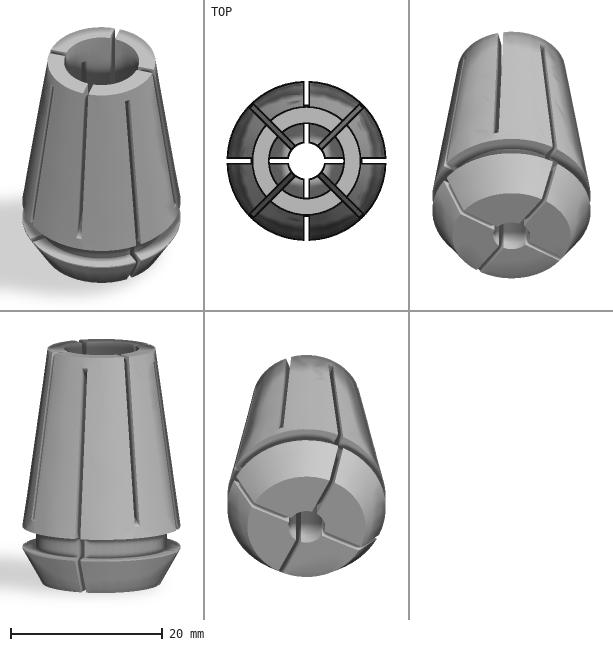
import cadquery as cq
import math

height = 31.5
outer_radius = 10.5

nose_radius = 7.85
nose_taper_top = 4.7
groove_bottom = 4.88
groove_top = 7.62
groove_radius = 8.65

top_radius = 7.15

bore_radius = 2.45
counterbore_radius = 4.98
counterbore_floor = 20.0

slots_per_end = 4
slot_width = 0.72
cutter_radius = 29.92
lower_slot_outer_end = 30.08
lower_slot_inner_end = 27.78
upper_slot_outer_end = 9.2
upper_slot_inner_end = 16.6
overshoot = 1.58


def taper_radius(z):
    """Radius of the main taper at height z."""
    share = (z - groove_top) / (height - groove_top)
    return outer_radius + share * (top_radius - outer_radius)


def make_body():
    """Solid of revolution with the nose, groove and main taper, and the stepped bore."""
    section = (
        cq.Workplane("XZ")
        .moveTo(bore_radius, 0)
        .lineTo(nose_radius, 0)
        .lineTo(outer_radius, nose_taper_top)
        .lineTo(outer_radius, groove_bottom)
        .lineTo(groove_radius, groove_bottom)
        .lineTo(groove_radius, groove_top)
        .lineTo(outer_radius, groove_top)
        .lineTo(top_radius, height)
        .lineTo(counterbore_radius, height)
        .lineTo(counterbore_radius, counterbore_floor)
        .lineTo(bore_radius, counterbore_floor)
        .close()
    )
    return section.revolve(360, (0, 0, 0), (0, 1, 0))


def make_slot(open_z, outer_end, inner_radius, inner_end, angle):
    """Radial slot cutter running from open_z to a curved end, turned by angle about Z."""
    end_radius = taper_radius(outer_end)
    run = end_radius - inner_radius
    rise = outer_end - inner_end
    chord = math.hypot(run, rise)
    sagitta = cutter_radius - math.sqrt(cutter_radius**2 - (chord / 2) ** 2)

    bulge = math.copysign(sagitta, outer_end - open_z)
    arc_middle = (
        (end_radius + inner_radius) / 2 - bulge * rise / chord,
        (outer_end + inner_end) / 2 + bulge * run / chord,
    )
    reach = outer_radius + overshoot
    return (
        cq.Workplane("XZ")
        .moveTo(0, open_z)
        .lineTo(reach, open_z)
        .lineTo(reach, outer_end)
        .lineTo(end_radius, outer_end)
        .threePointArc(arc_middle, (inner_radius, inner_end))
        .lineTo(0, inner_end)
        .close()
        .extrude(slot_width / 2, both=True)
        .rotate((0, 0, 0), (0, 0, 1), angle)
    )


result = make_body()

slot_spacing = 360 / slots_per_end
for index in range(slots_per_end):
    lower_angle = index * slot_spacing
    upper_angle = lower_angle + slot_spacing / 2
    lower_slot = make_slot(
        -overshoot, lower_slot_outer_end, counterbore_radius, lower_slot_inner_end, lower_angle
    )
    upper_slot = make_slot(
        height + overshoot, upper_slot_outer_end, bore_radius, upper_slot_inner_end, upper_angle
    )
    result = result.cut(lower_slot).cut(upper_slot)